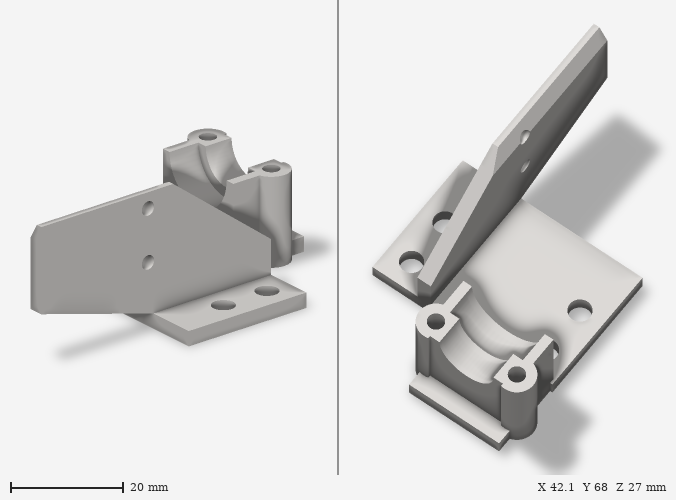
import cadquery as cq

PLATE_WIDTH = 40.0
PLATE_DEPTH = 27.0
PLATE_THICKNESS = 3.0
MOUNT_HOLE_DIAMETER = 4.5
MOUNT_HOLE_INSET = 5.0
MOUNT_HOLE_PITCH = 10.0

SADDLE_CENTER_X = 10.5
SADDLE_WIDTH = 20.0
SADDLE_HEIGHT = 17.75
SADDLE_PLATE_OVERLAP = 1.0
SADDLE_FRONT_Y = PLATE_DEPTH - SADDLE_PLATE_OVERLAP
SADDLE_DEPTH = 12.55
FOOT_REAR_Y = 42.25
BORE_RADIUS = 6.0
SEAT_RADIUS = 8.1
SEAT_DEPTH = 6.6

BOSS_SPACING = 18.0
BOSS_DIAMETER = 7.3
BOSS_HOLE_DIAMETER = 3.3
BOSS_SETBACK = 9.55
BOSS_Y = SADDLE_FRONT_Y + BOSS_SETBACK

WALL_X = 27.0
WALL_THICKNESS = 3.0
WALL_TOP_Z = 27.0
WALL_FRONT_Y = -25.75
WALL_END_Z = 10.0
WALL_TOP_REAR_Y = 4.55
BEVEL_HEIGHT = 3.0
BEVEL_WIDTH = 1.75
WALL_HOLE_DIAMETER = 2.8
WALL_HOLE_Y = -1.25
WALL_HOLE_HEIGHTS = (13.3, 23.8)


def block(x, y, z, width, depth, height):
    """Box with its lowest corner at (x, y, z)."""
    return cq.Workplane("XY").box(width, depth, height, centered=False).translate((x, y, z))


def cylinder_along_y(radius, y_start, length):
    """Cylinder on the bearing axis, running rearward from y_start."""
    axis_start = cq.Vector(SADDLE_CENTER_X, y_start, SADDLE_HEIGHT)
    return cq.Workplane(cq.Solid.makeCylinder(radius, length, axis_start, cq.Vector(0, 1, 0)))


def make_plate():
    return block(0, 0, 0, PLATE_WIDTH, PLATE_DEPTH, PLATE_THICKNESS)


def mounting_holes():
    rear_y = PLATE_DEPTH - MOUNT_HOLE_INSET
    centers = [
        (x, y)
        for x in (MOUNT_HOLE_INSET, PLATE_WIDTH - MOUNT_HOLE_INSET)
        for y in (rear_y, rear_y - MOUNT_HOLE_PITCH)
    ]
    return cq.Workplane("XY").pushPoints(centers).circle(MOUNT_HOLE_DIAMETER / 2).extrude(PLATE_THICKNESS)


def make_saddle():
    left_x = SADDLE_CENTER_X - SADDLE_WIDTH / 2
    rear_y = SADDLE_FRONT_Y + SADDLE_DEPTH
    foot_depth = FOOT_REAR_Y - SADDLE_FRONT_Y
    boss_centers = [(SADDLE_CENTER_X + side * BOSS_SPACING / 2, BOSS_Y) for side in (-1, 1)]
    bosses = cq.Workplane("XY").pushPoints(boss_centers)

    saddle = block(left_x, SADDLE_FRONT_Y, 0, SADDLE_WIDTH, SADDLE_DEPTH, SADDLE_HEIGHT)
    saddle = saddle.union(bosses.circle(BOSS_DIAMETER / 2).extrude(SADDLE_HEIGHT))

    trim = block(SADDLE_CENTER_X - SEAT_RADIUS, rear_y, 0, 2 * SEAT_RADIUS, foot_depth, SADDLE_HEIGHT)
    saddle = saddle.cut(trim)

    foot = block(left_x, SADDLE_FRONT_Y, 0, SADDLE_WIDTH, foot_depth, PLATE_THICKNESS)
    saddle = saddle.union(foot)

    saddle = saddle.cut(cylinder_along_y(BORE_RADIUS, SADDLE_FRONT_Y, foot_depth))
    saddle = saddle.cut(cylinder_along_y(SEAT_RADIUS, SADDLE_FRONT_Y, SEAT_DEPTH))
    return saddle.cut(bosses.circle(BOSS_HOLE_DIAMETER / 2).extrude(SADDLE_HEIGHT))


def make_wall():
    outline = [
        (0, 0),
        (PLATE_DEPTH, 0),
        (PLATE_DEPTH, WALL_END_Z),
        (WALL_TOP_REAR_Y, WALL_TOP_Z),
        (WALL_FRONT_Y, WALL_TOP_Z),
        (WALL_FRONT_Y, WALL_END_Z),
        (0, PLATE_THICKNESS),
    ]
    side = cq.Workplane("YZ", origin=(WALL_X, 0, 0))
    wall = side.polyline(outline).close().extrude(WALL_THICKNESS)

    bevel = (
        cq.Workplane("XZ", origin=(WALL_X, PLATE_DEPTH, 0))
        .moveTo(0, WALL_TOP_Z - BEVEL_HEIGHT)
        .lineTo(BEVEL_WIDTH, WALL_TOP_Z)
        .lineTo(0, WALL_TOP_Z)
        .close()
        .extrude(PLATE_DEPTH - WALL_FRONT_Y)
    )
    hole_centers = [(WALL_HOLE_Y, z) for z in WALL_HOLE_HEIGHTS]
    holes = side.pushPoints(hole_centers).circle(WALL_HOLE_DIAMETER / 2).extrude(WALL_THICKNESS)
    return wall.cut(bevel).cut(holes)


result = make_plate().cut(mounting_holes()).union(make_saddle()).union(make_wall())